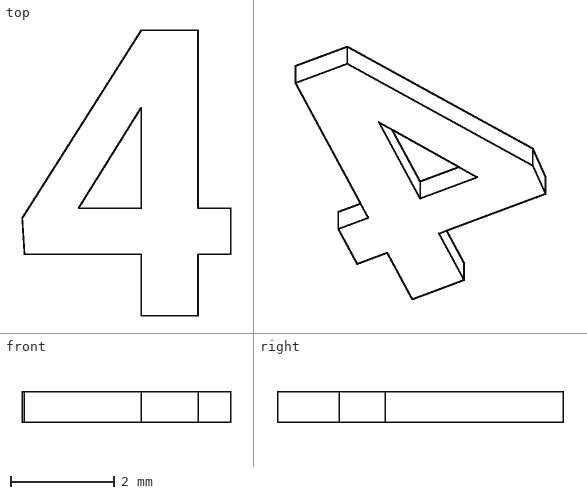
import cadquery as cq

width = 4.04
height = 5.53
thickness = 0.6

stem_left = 2.305
stem_width = 1.1
stem_right = stem_left + stem_width

bar_bottom = 1.19
bar_height = 0.895
bar_top = bar_bottom + bar_height

left_corner_inset = 0.045
left_tip_y = 1.89

opening_left = 1.095
opening_top = 4.03

outline = [
    (0, left_tip_y),
    (left_corner_inset, bar_bottom),
    (stem_left, bar_bottom),
    (stem_left, 0),
    (stem_right, 0),
    (stem_right, bar_bottom),
    (width, bar_bottom),
    (width, bar_top),
    (stem_right, bar_top),
    (stem_right, height),
    (stem_left, height),
]

opening = [
    (opening_left, bar_top),
    (stem_left, bar_top),
    (stem_left, opening_top),
]


def prism(points):
    """Extrude a closed polygon through the full thickness."""
    return cq.Workplane("XY").polyline(points).close().extrude(thickness)


result = prism(outline).cut(prism(opening))